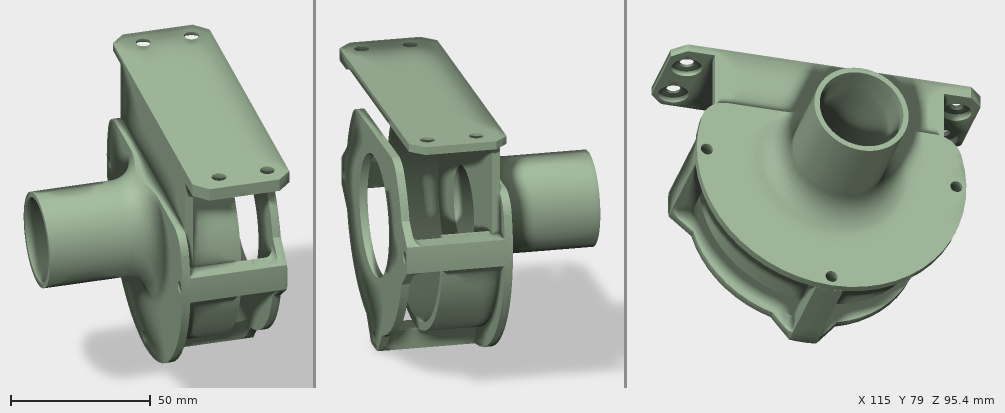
import cadquery as cq
import math


wall = 3.0
outer_radius = 50.0
shell_radius = 42.5
corner_radius = 10.0
bore_diameter = 31.0
frame_depth = 36.0
arm_half_width = 5.0
screw_diameter = 4.5
screw_circle_radius = (shell_radius + outer_radius) / 2

cover_top = 20.9
tube_diameter = 35.0
tube_straight_length = 30.0
tube_flare_radius = 10.0

housing_top = 45.4
shell_depth = 21.0
plate_length = 115.0
plate_corner_chamfer = 5.0
thick_end_thickness = 4.7
mount_hole_diameter = 5.3
mount_hole_spacing_x = 100.0
mount_hole_spacing_y = 17.9
mount_hole_center_y = 19.5
head_recess_diameter = 11.0
thin_end_recess_roof = 0.9
thick_end_recess_roof = 2.0

motor_plate_radius = 43.0
motor_plate_top = 31.0
motor_hole_diameter = 45.0
lug_half_width = 12.0
arm_fillet = 3.0
arm_angles = (0, 90, -90)


def disc(radius, y_start, y_end):
    """Cylinder on the tube axis between two Y positions."""
    return (
        cq.Workplane("XZ", origin=(0, y_start, 0))
        .circle(radius)
        .extrude(y_start - y_end)
    )


def block(x_range, y_range, z_range):
    """Box between pairs of X, Y and Z limits."""
    sizes = [high - low for low, high in (x_range, y_range, z_range)]
    return cq.Workplane("XY").box(*sizes, centered=False).translate(
        (x_range[0], y_range[0], z_range[0])
    )


def around_axis(shape, angle):
    """Turn a shape about the tube axis."""
    return shape.rotate((0, 0, 0), (0, 1, 0), angle)


def flat_topped_disc(radius, top, y_start, thickness):
    """Disc with a flat top whose two corners are rounded tangentially."""
    center_z = top - corner_radius
    center_distance = radius - corner_radius
    center_x = math.sqrt(center_distance**2 - center_z**2)
    end_x = center_x * radius / center_distance
    end_z = center_z * radius / center_distance
    mid_angle = (math.atan2(center_z, center_x) + math.pi / 2) / 2
    mid_x = center_x + corner_radius * math.cos(mid_angle)
    mid_z = center_z + corner_radius * math.sin(mid_angle)
    return (
        cq.Workplane("XZ", origin=(0, y_start, 0))
        .moveTo(-center_x, top)
        .lineTo(center_x, top)
        .threePointArc((mid_x, mid_z), (end_x, end_z))
        .threePointArc((0, -radius), (-end_x, end_z))
        .threePointArc((-mid_x, mid_z), (-center_x, top))
        .close()
        .extrude(-thickness)
    )


def screw_holes():
    """Three screw-hole cutters running through the cover and the arms."""
    hole = disc(screw_diameter / 2, -wall, frame_depth).translate((0, 0, -screw_circle_radius))
    cutters = cq.Workplane("XY")
    for angle in arm_angles:
        cutters = cutters.add(around_axis(hole, angle))
    return cutters.combine()


def make_cover():
    """Flat-topped flange with a flared inlet tube."""
    flange = flat_topped_disc(outer_radius, cover_top, -wall, wall)

    tube_radius = tube_diameter / 2
    flare_end = -wall - tube_flare_radius
    tube_end = flare_end - tube_straight_length
    flare_mid = tube_flare_radius * (1 - math.sqrt(0.5))
    tube = (
        cq.Workplane("XY")
        .moveTo(0, -wall)
        .lineTo(tube_radius + tube_flare_radius, -wall)
        .threePointArc((tube_radius + flare_mid, -wall - flare_mid), (tube_radius, flare_end))
        .lineTo(tube_radius, tube_end)
        .lineTo(0, tube_end)
        .close()
        .revolve(360, (0, 0, 0), (0, 1, 0))
    )
    below_flat_top = block(
        (-outer_radius, outer_radius), (tube_end, 0), (-outer_radius, cover_top)
    )
    tube = tube.intersect(below_flat_top)
    bore = disc(bore_diameter / 2, tube_end, 0)
    return flange.union(tube).cut(bore).cut(screw_holes())


def make_mounting_plate():
    """Top plate with cut corners, a thicker +X end and four holes recessed from below."""
    half_length = plate_length / 2
    depth = (0, frame_depth)
    thin = block((-half_length, half_length), depth, (housing_top - wall, housing_top))
    thick = block(
        (shell_radius, half_length), depth, (housing_top - thick_end_thickness, housing_top)
    )
    outline = block(
        (-half_length, half_length), depth, (housing_top - thick_end_thickness, housing_top)
    ).edges("|Z").chamfer(plate_corner_chamfer)
    holes = (
        cq.Workplane("XY", origin=(0, mount_hole_center_y, housing_top))
        .rarray(mount_hole_spacing_x, mount_hole_spacing_y, 2, 2)
        .circle(mount_hole_diameter / 2)
        .extrude(-thick_end_thickness)
    )
    plate = thin.union(thick).intersect(outline).cut(holes)
    for side, roof in ((-1, thin_end_recess_roof), (1, thick_end_recess_roof)):
        center_x = side * mount_hole_spacing_x / 2
        recesses = (
            cq.Workplane("XY", origin=(center_x, mount_hole_center_y, housing_top - roof))
            .rarray(1.2, mount_hole_spacing_y, 1, 2)
            .circle(head_recess_diameter / 2)
            .extrude(-thick_end_thickness)
        )
        plate = plate.cut(recesses)
    return plate


def make_housing():
    """Front wall, three-quarter round shell and mounting plate."""
    upper_wall = block((-shell_radius, shell_radius), (0, wall), (0, housing_top))
    front_wall = disc(shell_radius, 0, wall).union(upper_wall)

    shell = disc(shell_radius, 0, shell_depth).cut(disc(shell_radius - wall, 0, shell_depth))
    outlet_opening = block(
        (-shell_radius, 0), (0, shell_depth), (arm_half_width, shell_radius)
    )
    shell = shell.cut(outlet_opening)

    bore = disc(bore_diameter / 2, 0, wall)
    return front_wall.union(make_mounting_plate()).union(shell).cut(bore)


def flared_profile(plane, half_width, plate_front):
    """Sketch of an arm that flares at its rear end, where it meets the motor plate."""
    arc_mid = arm_fillet * (1 - math.sqrt(0.5))
    flare_start = plate_front - arm_fillet
    return (
        cq.Workplane(plane)
        .moveTo(-half_width, 0)
        .lineTo(half_width, 0)
        .lineTo(half_width, flare_start)
        .threePointArc(
            (half_width + arc_mid, plate_front - arc_mid),
            (half_width + arm_fillet, plate_front),
        )
        .lineTo(-half_width - arm_fillet, plate_front)
        .threePointArc((-half_width - arc_mid, plate_front - arc_mid), (-half_width, flare_start))
        .close()
    )


def make_bottom_arm(plate_front):
    """Arm below the ring, with its plate lug and corner fillets."""
    flare_top = -shell_radius + arm_fillet
    arm_thickness = outer_radius - shell_radius
    flare_half_width = arm_half_width + arm_fillet

    side_plane = cq.Plane((0, 0, -outer_radius), xDir=(1, 0, 0), normal=(0, 0, 1))
    side_flare = flared_profile(side_plane, arm_half_width, plate_front)
    side_flare = side_flare.extrude(arm_thickness + arm_fillet)
    inner_plane = cq.Plane(
        (flare_half_width, 0, -outer_radius), xDir=(0, 0, 1), normal=(-1, 0, 0)
    )
    inner_flare = flared_profile(inner_plane, arm_thickness, plate_front)
    inner_flare = inner_flare.extrude(2 * flare_half_width)
    arm = side_flare.intersect(inner_flare)

    lug_root = -math.sqrt(motor_plate_radius**2 - lug_half_width**2)
    lug_tip = -math.sqrt(outer_radius**2 - arm_half_width**2)
    lug_points = [
        (-lug_half_width, lug_root),
        (-arm_half_width, lug_tip),
        (-arm_half_width, -outer_radius),
        (arm_half_width, -outer_radius),
        (arm_half_width, lug_tip),
        (lug_half_width, lug_root),
    ]
    lug = (
        cq.Workplane("XZ", origin=(0, frame_depth, 0))
        .polyline(lug_points)
        .close()
        .extrude(wall)
    )
    lug_column = (
        cq.Workplane("XZ", origin=(0, frame_depth, 0))
        .polyline(lug_points + [(lug_half_width, flare_top), (-lug_half_width, flare_top)])
        .close()
        .extrude(frame_depth)
    )
    arm = arm.intersect(lug_column).union(lug)
    return arm.intersect(disc(outer_radius, 0, frame_depth))


def make_motor_frame():
    """Rear motor plate carried by three arms around the shell."""
    plate_front = frame_depth - wall
    frame = flat_topped_disc(
        motor_plate_radius, motor_plate_top, plate_front, wall
    )
    bottom_arm = make_bottom_arm(plate_front)
    for angle in arm_angles:
        frame = frame.union(around_axis(bottom_arm, angle))
    motor_hole = disc(motor_hole_diameter / 2, plate_front, frame_depth)
    return frame.cut(motor_hole).cut(screw_holes())


cover = make_cover()
housing = make_housing()
motor_frame = make_motor_frame()

result = cq.Compound.makeCompound([
    cover.solids().val(),
    housing.solids().val(),
    motor_frame.solids().val(),
])